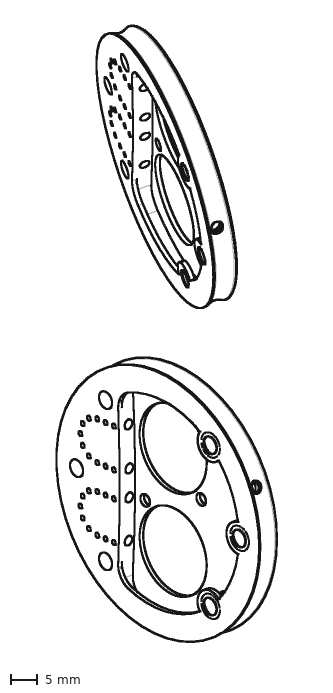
import cadquery as cq
import math

outer_radius = 27.25
thickness = 5.0

bevel = 0.3
land_width = 0.3
lip_width = 0.3
lip_drop = 0.15
groove_edge = land_width + lip_width
groove_radius = 26.65

cover_thickness = 1.0
floor_thickness = 1.0
cavity_radius = 25.35

window_radius = 21.8
window_left = -10.2
window_left_bow_radius = 307.9
window_corner_radius = 4.35
tab_radius = 3.3
tab_skin = 0.2
tab_recess_diameter = 5.0

bolt_circle_radius = 21.8
bolt_diameter = 3.5
bolt_angle = 50.0
tab_angles = (-bolt_angle, 0.0, bolt_angle)
bolt_angles = tab_angles + tuple(180.0 + angle for angle in tab_angles)

floor_centre_z = -0.6
port_diameter = 18.0
port_offset = 10.65
pin_diameter = 2.5
pin_offset_x = 7.5
pin_offset_z = 2.6

duct_centre_x = -16.25
duct_centre_z = 7.5
duct_bend_radius = 4.5
duct_diameter = 1.95
feed_diameter = 1.0
feed_pitch = 2.25
feeds_per_leg = 2
bend_step = 30

side_hole_diameter = 2.0
side_bore_diameter = 2.5
side_bore_floor_radius = 26.2
side_hole_angle = 24.0
side_hole_y = 2.0

overlap = 0.55


def polar(radius, angle):
    """X and Z of a point at the given radius and angle in degrees."""
    return (radius * math.cos(math.radians(angle)), radius * math.sin(math.radians(angle)))


def rod(x, z, diameter, y_start, y_end):
    """Cylinder along Y."""
    return cq.Workplane("XZ", origin=(x, y_start, z)).circle(diameter / 2).extrude(y_start - y_end)


def make_disc():
    """Turned blank with the grooved rim."""
    edge_radius = outer_radius - lip_drop
    profile = (
        cq.Workplane("XY")
        .lineTo(outer_radius, 0)
        .lineTo(outer_radius, land_width)
        .lineTo(edge_radius, groove_edge)
        .threePointArc((groove_radius, thickness / 2), (edge_radius, thickness - groove_edge))
        .lineTo(outer_radius, thickness - bevel)
        .lineTo(outer_radius - bevel, thickness)
        .lineTo(0, thickness)
        .close()
    )
    return profile.revolve(360, (0, 0, 0), (0, 1, 0))


def make_segment(radius, y_start, y_end):
    """Disc cut off at the left by a slightly bowed wall, with rounded corners."""
    bow_centre_x = window_left - window_left_bow_radius
    disc = rod(0, 0, 2 * radius, y_start, y_end)
    left_side = rod(bow_centre_x, 0, 2 * window_left_bow_radius, y_start, y_end)
    return disc.cut(left_side).edges("|Y").fillet(window_corner_radius)


def make_interior():
    """Cavity plus the front window, leaving a tab around each right-hand bolt."""
    window = make_segment(window_radius, 0, cover_thickness)
    for angle in tab_angles:
        x, z = polar(bolt_circle_radius, angle)
        window = window.cut(rod(x, z, 2 * tab_radius, 0, cover_thickness))
    cavity = make_segment(cavity_radius, cover_thickness, thickness - floor_thickness)
    return window.union(cavity)


def make_duct(centre_z):
    """U-shaped tube whose two legs open into the cavity, with its feed holes."""
    duct_y = thickness / 2
    leg_end_x = window_left + overlap
    path = (
        cq.Workplane("XZ", origin=(0, duct_y, 0))
        .moveTo(leg_end_x, centre_z + duct_bend_radius)
        .lineTo(duct_centre_x, centre_z + duct_bend_radius)
        .threePointArc(
            (duct_centre_x - duct_bend_radius, centre_z),
            (duct_centre_x, centre_z - duct_bend_radius),
        )
        .lineTo(leg_end_x, centre_z - duct_bend_radius)
    )
    start = (leg_end_x, duct_y, centre_z + duct_bend_radius)
    duct = cq.Workplane("YZ", origin=start).circle(duct_diameter / 2).sweep(path)

    feeds = [polar(duct_bend_radius, angle) for angle in range(90, 271, bend_step)]
    for step in range(1, feeds_per_leg + 1):
        feeds += [(step * feed_pitch, duct_bend_radius), (step * feed_pitch, -duct_bend_radius)]
    for x, z in feeds:
        duct = duct.union(rod(duct_centre_x + x, centre_z + z, feed_diameter, 0, duct_y))
    return duct


def radial_rod(diameter, start_radius):
    """Cylinder along the side hole axis, from start_radius out past the rim."""
    x, z = polar(start_radius, side_hole_angle)
    axis_plane = cq.Plane(origin=(x, side_hole_y, z), xDir=(0, 1, 0), normal=(x, 0, z))
    return cq.Workplane(axis_plane).circle(diameter / 2).extrude(outer_radius - start_radius)


def make_side_hole():
    """Hole through the rim wall, widened where it meets the groove."""
    hole = radial_rod(side_hole_diameter, cavity_radius - overlap)
    return hole.union(radial_rod(side_bore_diameter, side_bore_floor_radius))


result = make_disc().cut(make_interior())

for bolt in bolt_angles:
    bolt_x, bolt_z = polar(bolt_circle_radius, bolt)
    result = result.cut(rod(bolt_x, bolt_z, bolt_diameter, 0, thickness))

for tab in tab_angles:
    tab_x, tab_z = polar(bolt_circle_radius, tab)
    result = result.cut(rod(tab_x, tab_z, tab_recess_diameter, tab_skin, cover_thickness))

floor_y = thickness - floor_thickness
for side in (1, -1):
    port_z = floor_centre_z + side * port_offset
    pin_z = floor_centre_z + side * pin_offset_z
    result = result.cut(rod(0, port_z, port_diameter, floor_y, thickness))
    result = result.cut(rod(side * pin_offset_x, pin_z, pin_diameter, floor_y, thickness))
    result = result.cut(make_duct(side * duct_centre_z))

result = result.cut(make_side_hole())